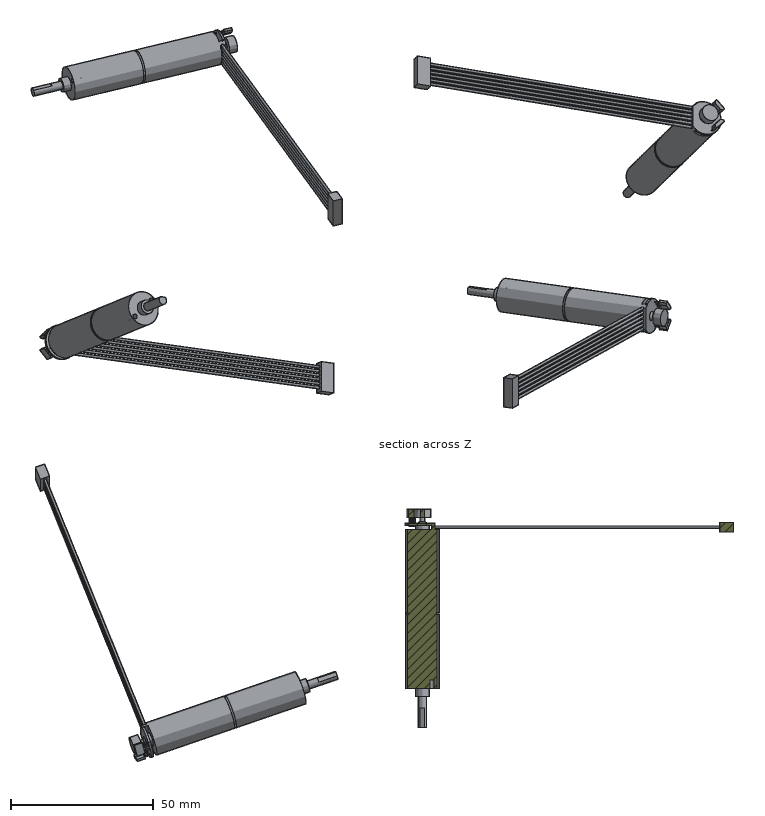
import cadquery as cq
import math

OVERALL_LENGTH = 115.3

body_diameter = 12.0
body_length = 55.8
joint_start = 26.0
joint_width = 0.7
joint_diameter = 11.8
boss_diameter = 5.0
boss_length = 2.8
shaft_diameter = 3.0
shaft_reach = 13.6
flat_length = 6.9
flat_depth = 0.2
screw_hole_diameter = 1.6
screw_hole_offset = 3.3
screw_hole_depth = 3.0

board_diameter = 12.3
board_thickness = 0.8
board_gap = 1.4
board_edge_x = 4.5
pad_width = 1.3
rear_shaft_diameter = 1.7
collar_diameter = 3.2
collar_height = 0.7
magnet_diameter = 6.0
magnet_thickness = 3.0

sensor_angles = (135, 225)
sensor_outer_radius = 5.5
sensor_width = 4.3
sensor_inner_width = 2.8
sensor_straight_depth = 0.8
sensor_depth = 1.5
lead_diameter = 0.5
lead_radius = 5.0
lead_pitch = 1.3
lead_count = 3
lead_tail = 0.3

wire_diameter = 1.0
wire_pitch = 1.5
wire_count = 6
wire_y = 56.6
plug_length = 5.0
plug_thickness = 3.5
plug_height = 10.7

board_front = body_length + board_gap
board_back = board_front + board_thickness
rear_end = 63.0
magnet_front = rear_end - magnet_thickness
plug_end = OVERALL_LENGTH - board_diameter / 2


def section_at(y):
    """Plane across the motor axis, with local x = X, local y = Z, facing +Y."""
    return cq.Workplane(cq.Plane(origin=(0, y, 0), xDir=(1, 0, 0), normal=(0, -1, 0)))


def disc(diameter, start, end, x=0, z=0):
    """Cylinder parallel to the motor axis."""
    return section_at(start).center(x, z).circle(diameter / 2).extrude(start - end)


def chord_slice(solid, x_min, x_max):
    """The part of a solid lying between two X positions."""
    span = 2 * OVERALL_LENGTH
    keep = cq.Workplane("XY").box(x_max - x_min, span, span).translate(((x_min + x_max) / 2, 0, 0))
    return solid.intersect(keep)


def make_gearmotor():
    body = disc(body_diameter, 0, joint_start)
    body = body.union(disc(joint_diameter, joint_start, joint_start + joint_width))
    body = body.union(disc(body_diameter, joint_start + joint_width, body_length))
    for side in (-1, 1):
        offset = side * screw_hole_offset
        body = body.cut(disc(screw_hole_diameter, 0, screw_hole_depth, offset, offset))

    shaft = disc(shaft_diameter, -shaft_reach, 0)
    flat = cq.Workplane("XY").box(shaft_diameter, flat_length, flat_depth, centered=(True, False, False))
    shaft = shaft.cut(flat.translate((0, -shaft_reach, shaft_diameter / 2 - flat_depth)))
    front_boss = disc(boss_diameter, -boss_length, 0)
    rear_boss = disc(boss_diameter, body_length, board_front)
    return body.union(front_boss).union(shaft).union(rear_boss)


def make_board():
    radius = board_diameter / 2
    board = disc(board_diameter, board_front, board_back)
    pad = disc(body_diameter, body_length, board_back)
    pad_start = board_edge_x - pad_width
    board = chord_slice(board, -radius, pad_start)
    return board.union(chord_slice(pad, pad_start, board_edge_x))


def make_magnet():
    profile = [
        (0, board_back),
        (collar_diameter / 2, board_back),
        (rear_shaft_diameter / 2, board_back + collar_height),
        (rear_shaft_diameter / 2, magnet_front),
        (magnet_diameter / 2, magnet_front),
        (magnet_diameter / 2, rear_end),
        (0, rear_end),
    ]
    return cq.Workplane("XY").polyline(profile).close().revolve(360, (0, 0, 0), (0, 1, 0))


def make_sensor(angle):
    """Hall sensor on its leads, tapered towards the magnet and turned about the motor axis."""
    taper_radius = sensor_outer_radius - sensor_straight_depth
    inner_radius = sensor_outer_radius - sensor_depth
    outline = [
        (sensor_outer_radius, -sensor_width / 2),
        (sensor_outer_radius, sensor_width / 2),
        (taper_radius, sensor_width / 2),
        (inner_radius, sensor_inner_width / 2),
        (inner_radius, -sensor_inner_width / 2),
        (taper_radius, -sensor_width / 2),
    ]
    sensor = section_at(magnet_front).polyline(outline).close().extrude(-magnet_thickness)
    for i in range(lead_count):
        z = (i - (lead_count - 1) / 2) * lead_pitch
        sensor = sensor.union(disc(lead_diameter, board_front - lead_tail, magnet_front, lead_radius, z))
    return sensor.rotate((0, 0, 0), (0, 1, 0), -angle)


def make_ribbon():
    plug_start = plug_end - plug_length
    plug = cq.Workplane("XY").box(plug_length, plug_thickness, plug_height)
    ribbon = plug.translate((plug_start + plug_length / 2, wire_y, 0))
    wire_start = board_edge_x - pad_width / 2
    for i in range(wire_count):
        z = (i - (wire_count - 1) / 2) * wire_pitch
        wire = cq.Workplane("YZ", origin=(wire_start, wire_y, z)).circle(wire_diameter / 2)
        ribbon = ribbon.union(wire.extrude(plug_start - wire_start))
    return ribbon


result = make_gearmotor().union(make_board()).union(make_magnet())
for sensor_angle in sensor_angles:
    result = result.union(make_sensor(sensor_angle))
result = result.union(make_ribbon())